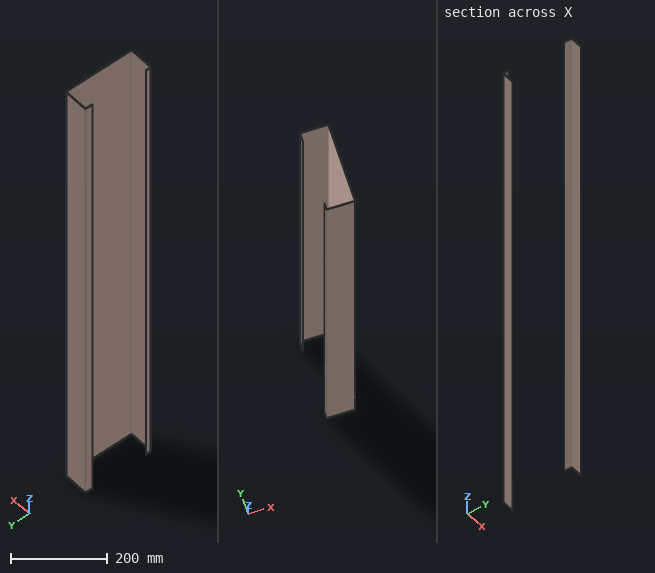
import cadquery as cq

flange_width = 64.0
web_height = 180.0
length = 1197.0
thickness = 1.5
inner_bend_radius = 1.5

lip_depth_plus_y = 20.0
lip_depth_minus_y = 15.0


def rounded_bar(width, height, corner_radius):
    """Full-length rectangular bar with rounded lengthwise edges."""
    return cq.Workplane("XY").box(width, height, length).edges("|Z").fillet(corner_radius)


def closed_tube():
    """Rectangular tube whose bends have concentric inner and outer radii."""
    outside = rounded_bar(flange_width, web_height, inner_bend_radius + thickness)
    inside = rounded_bar(
        flange_width - 2 * thickness,
        web_height - 2 * thickness,
        inner_bend_radius,
    )
    return outside.cut(inside)


def mouth_opening():
    """Bar that opens the -X wall between the free edges of the two lips."""
    mouth_height = web_height - lip_depth_plus_y - lip_depth_minus_y
    mouth_center_y = (lip_depth_minus_y - lip_depth_plus_y) / 2
    opening = cq.Workplane("XY").box(2 * thickness, mouth_height, length)
    return opening.translate((-flange_width / 2, mouth_center_y, 0))


result = closed_tube().cut(mouth_opening())